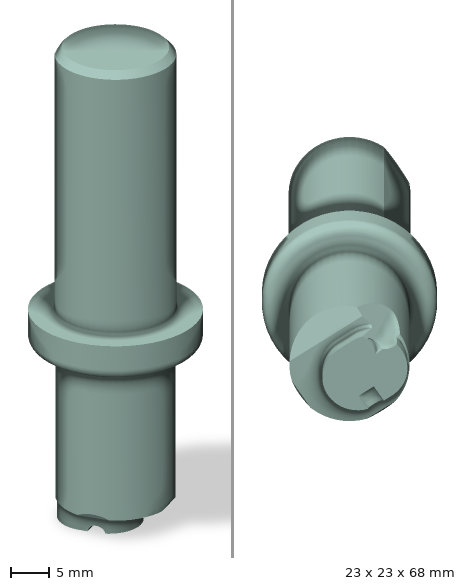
import cadquery as cq
import math

total_length = 68.0
pilot_height = 3.05
flange_bottom = 25.0
flange_top = 30.05

shank_radius = 16.0 / 2
body_radius = 15.8 / 2
flange_radius = 23.0 / 2
flange_lower_round = 1.5
neck_fillet = 0.7
shank_fillet = 0.4
top_chamfer = 0.95

flat_width = 6.0
flat_bottom = 34.1
flat_ramp_angle = 45.0

pilot_x = -1.7
pilot_y = -1.1
pilot_radius = 4.6
pilot_center_distance = 2.3
pilot_flare_height = 0.4
pilot_flare_angle = 40.0

flute_tilt = 20.0
flute_floor_angle = 10.0
flute_radius = 2.25
flute_wall_y = -0.15
flute_top = 8.4

bevel_depth = 0.35
bevel_height = 0.6
relief_depth = 3.1
relief_height = 1.35

notch_radius = 1.2
notch_drop = 0.2
front_notch_x = -0.4
front_notch_depth = 2.4
side_notch_x = -4.55
side_notch_y = 1.5
side_notch_depth = 0.4
side_notch_rise = 30.0

margin = 3.4


def turned_blank():
    """Shank, flange and body revolved about Z."""
    profile = (
        cq.Workplane("XZ")
        .moveTo(0, pilot_height)
        .lineTo(body_radius, pilot_height)
        .lineTo(body_radius, flange_bottom - neck_fillet)
        .radiusArc((body_radius + neck_fillet, flange_bottom), neck_fillet)
        .lineTo(flange_radius - flange_lower_round, flange_bottom)
        .radiusArc((flange_radius, flange_bottom + flange_lower_round), -flange_lower_round)
        .lineTo(flange_radius, flange_top)
        .lineTo(shank_radius + shank_fillet, flange_top)
        .radiusArc((shank_radius, flange_top + shank_fillet), shank_fillet)
        .lineTo(shank_radius, total_length - top_chamfer)
        .lineTo(shank_radius - top_chamfer, total_length)
        .lineTo(0, total_length)
        .close()
    )
    return profile.revolve(360, (0, 0, 0), (0, 1, 0))


def clamping_flat():
    """Flat along the shank that runs out over a ramp at its lower end."""
    flat_x = -math.sqrt(shank_radius**2 - (flat_width / 2) ** 2)
    ramp_drop = margin * math.tan(math.radians(flat_ramp_angle))
    outline = [
        (flat_x, flat_bottom),
        (flat_x, total_length + margin),
        (flat_x - margin, total_length + margin),
        (flat_x - margin, flat_bottom - ramp_drop),
    ]
    return cq.Workplane("XZ").polyline(outline).close().extrude(shank_radius, both=True)


def pilot():
    """Obround pilot that flares out where it meets the body."""
    length = pilot_center_distance + 2 * pilot_radius
    base = cq.Workplane("XY").center(pilot_x, pilot_y).slot2D(length, 2 * pilot_radius)
    post = base.extrude(pilot_height)
    flare = (
        cq.Workplane("XY", origin=(pilot_x, pilot_y, pilot_height - pilot_flare_height))
        .slot2D(length, 2 * pilot_radius)
        .extrude(pilot_flare_height, taper=-pilot_flare_angle)
    )
    envelope = cq.Workplane("XY").circle(body_radius).extrude(pilot_height)
    return post.union(flare.intersect(envelope))


def chip_flute():
    """Straight flute tilted about Y: a rounded wall on the -Y side, then a flat floor."""
    tilt = math.radians(flute_tilt)
    floor = math.radians(flute_floor_angle)
    center_y = flute_wall_y + flute_radius
    tangent_y = center_y - flute_radius * math.sin(floor)
    tangent_x = flute_radius * math.cos(floor)
    apex_x = -math.sqrt(body_radius**2 - tangent_y**2)
    reach = 2 * body_radius
    section = cq.Plane(
        origin=(apex_x, tangent_y, flute_top),
        xDir=(math.cos(tilt), 0, math.sin(tilt)),
        normal=(-math.sin(tilt), 0, math.cos(tilt)),
    )
    half_turn = (math.pi / 2 - floor) / 2
    arc_middle = (
        flute_radius * math.sin(half_turn) - tangent_x,
        center_y - flute_radius * math.cos(half_turn) - tangent_y,
    )
    wall_y = flute_wall_y - tangent_y
    outline = (
        cq.Workplane(section)
        .moveTo(-reach, wall_y)
        .lineTo(-tangent_x, wall_y)
        .threePointArc(arc_middle, (0, 0))
        .lineTo(reach * math.tan(floor), reach)
        .lineTo(-reach, reach)
        .close()
    )
    return outline.extrude(flute_top + margin, both=True)


def rim_bevel(depth, height, angle):
    """Flat bevel across the body's lower rim, on the +X side turned by angle about Z."""
    overshoot = 1 + margin / depth
    inner_x = body_radius - depth
    outer_x = inner_x + depth * overshoot
    outline = [
        (inner_x, pilot_height),
        (outer_x, pilot_height + height * overshoot),
        (outer_x, pilot_height),
    ]
    wedge = cq.Workplane("XZ").polyline(outline).close().extrude(2 * body_radius, both=True)
    return wedge.rotate((0, 0, 0), (0, 0, 1), angle)


def end_notch(entry_x, entry_y, direction, depth):
    """Blind rounded notch entering the pilot's lower edge along a horizontal or rising direction."""
    outward = cq.Vector(*direction) * -1
    entry = cq.Vector(entry_x, entry_y, -notch_drop)
    start = entry + outward * margin
    return cq.Workplane(
        cq.Solid.makeCylinder(notch_radius, depth + margin, start, cq.Vector(*direction))
    )


body = turned_blank().cut(clamping_flat())
for bevel_angle in (0, -90):
    body = body.cut(rim_bevel(bevel_depth, bevel_height, bevel_angle))
body = body.cut(rim_bevel(relief_depth, relief_height, 90))

side_rise = math.radians(side_notch_rise)
front_notch = end_notch(front_notch_x, pilot_y - pilot_radius, (0, 1, 0), front_notch_depth)
side_notch = end_notch(
    side_notch_x, side_notch_y, (math.cos(side_rise), 0, math.sin(side_rise)), side_notch_depth
)

result = body.union(pilot()).cut(chip_flute()).cut(front_notch).cut(side_notch)